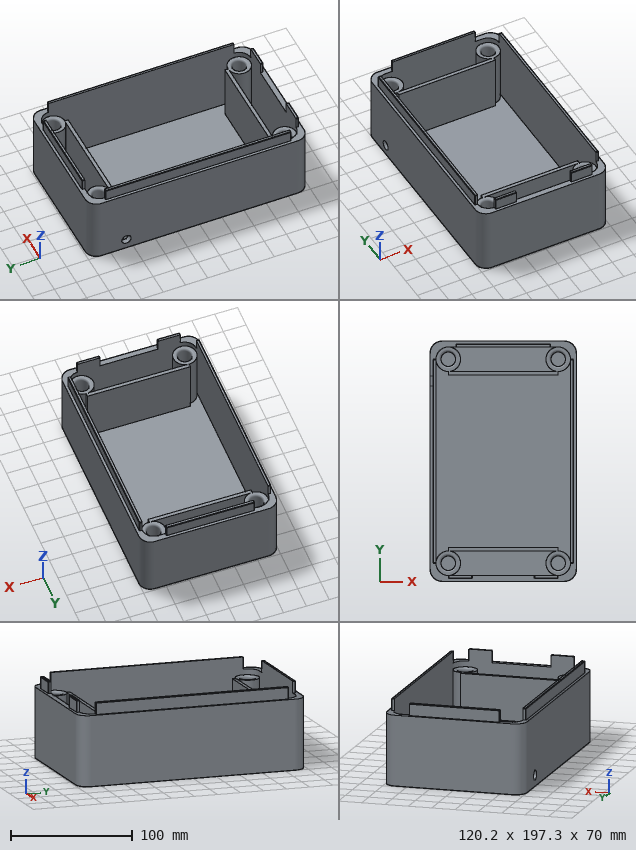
import cadquery as cq

width = 120.2
length = 197.3
body_height = 60.0
corner_radius = 10.0
wall = 5.0
floor = 5.0

total_height = 70.0
lip_thickness = wall / 2
lip_chamfer = 0.5
back_lip_length = 77.3
front_tab_length = 19.7

boss_radius = 10.0
boss_height = 55.0
bore_radius = 6.0
bore_mouth_rounding = 2.0

partition_thickness = 3.2
partition_height = 55.0
boss_overlap = 0.2

cable_hole_radius = 4.1
cable_hole_y = 65.9
cable_hole_z = 9.5

cavity_width = width - 2 * wall
cavity_length = length - 2 * wall
boss_x = cavity_width / 2 - boss_radius
boss_y = cavity_length / 2 - boss_radius
boss_centers = [(x, y) for x in (-boss_x, boss_x) for y in (-boss_y, boss_y)]


def rounded_block(size_x, size_y, radius, bottom, top):
    """Upright block with rounded vertical corners, centred on the Z axis."""
    block = cq.Workplane("XY").workplane(offset=bottom).rect(size_x, size_y).extrude(top - bottom)
    return block.edges("|Z").fillet(radius)


def lip(run, inner_face, along, outward):
    """Straight lip centred at `along` on one wall; `outward` is the angle of that wall's normal.

    The edges of the outer face and the top edges of both ends are chamfered.
    """
    strip = (
        cq.Workplane("XY")
        .box(lip_thickness, run, total_height - body_height, centered=(False, True, False))
        .edges("(>X or |X) and (not <Z)")
        .chamfer(lip_chamfer)
    )
    strip = strip.translate((inner_face, along, body_height))
    return strip.rotate((0, 0, 0), (0, 0, 1), outward)


def screw_boss():
    """Boss on the Z axis with a blind bore down to the floor and a rounded mouth."""
    boss = cq.Workplane("XY").circle(boss_radius).extrude(boss_height)
    bore = cq.Workplane("XY", origin=(0, 0, floor)).circle(bore_radius).extrude(boss_height - floor)
    mouth = cq.selectors.RadiusNthSelector(0)
    return boss.cut(bore).faces(">Z").edges(mouth).fillet(bore_mouth_rounding)


def partition(side):
    """Wall across the cavity, just overlapping the two bosses at the +Y (1) or -Y (-1) end."""
    outer_face = boss_y - boss_radius + boss_overlap
    center_y = side * (outer_face - partition_thickness / 2)
    return (
        cq.Workplane("XY")
        .box(2 * boss_x, partition_thickness, partition_height, centered=(True, True, False))
        .translate((0, center_y, 0))
    )


body = rounded_block(width, length, corner_radius, 0, body_height)
body = body.cut(rounded_block(cavity_width, cavity_length, boss_radius, floor, body_height))

for x, y in boss_centers:
    body = body.union(screw_boss().translate((x, y, 0)))
for end in (1, -1):
    body = body.union(partition(end))

for angle in (0, 180):
    body = body.union(lip(2 * boss_y, cavity_width / 2, 0, angle))
body = body.union(lip(back_lip_length, cavity_length / 2, 0, 90))
tab_offset = boss_x - front_tab_length / 2
for offset in (-tab_offset, tab_offset):
    body = body.union(lip(front_tab_length, cavity_length / 2, offset, -90))

cable_hole = (
    cq.Workplane("YZ")
    .workplane(offset=-width / 2)
    .center(cable_hole_y, cable_hole_z)
    .circle(cable_hole_radius)
    .extrude(wall)
)
result = body.cut(cable_hole)